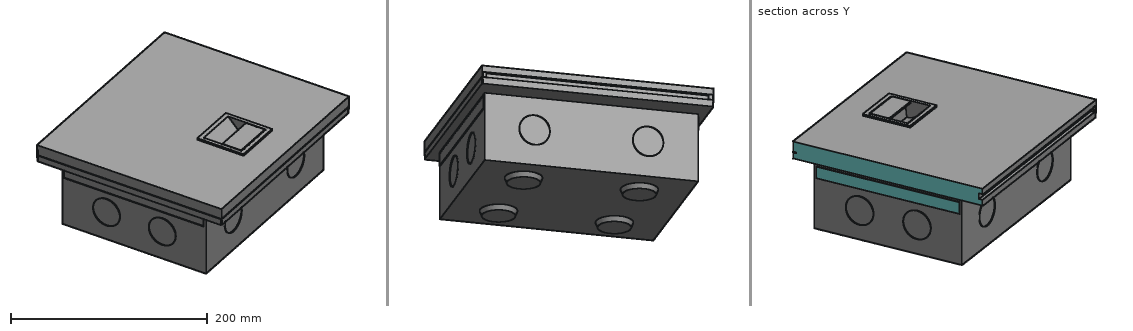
import cadquery as cq
import math


box_x, box_y = 172.3, 225.0
strip_x, strip_height, strip_proud = 167.5, 13.7, 1.0
strip_top = 71.0

outer_x, outer_y = 221.3, 244.0
flange_bottom, flange_top = 73.2, 80.3
corner_notch = 1.0
notch_top = 78.0
lid_bottom, lid_top = 81.0, 93.0
seal_inset = 3.7
slot_top, slot_length, slot_depth = 86.1, 234.2, 4.1
slot_end_recess = 1.0

knockout_radius, knockout_depth = 16.0, 1.0
end_knockout_x, end_knockout_z = 33.5, 32.7
side_knockout_y, side_knockout_z = 59.8, 38.3

foot_x, foot_y = 47.8, 61.0
foot_top_radius, foot_bottom_radius, foot_height = 19.3, 17.0, 5.4

bezel_x, bezel_y, bezel_proud = 55.5, 54.7, 2.0
bezel_center_x = 50.0
bezel_top = lid_top + bezel_proud
opening_x, opening_y = 45.1, 46.4
opening_left = bezel_center_x - opening_x / 2
opening_right = bezel_center_x + opening_x / 2
flap_x = 23.2
flap_left = opening_right - flap_x
flap_gap, flap_thickness = 0.7, 1.7
flap_bottom = bezel_top - flap_thickness
scoop_radius, scoop_depth = 19.5, 19.8
scoop_run = 27.3
scoop_knee_angle = 46.0
scoop_wall_lean = 2.0


def block(size_x, size_y, z_low, z_high, center_x=0.0):
    """Box centred on y = 0 between two heights."""
    base = cq.Workplane("XY", origin=(center_x, 0, z_low))
    return base.rect(size_x, size_y).extrude(z_high - z_low)


def make_box():
    body = block(box_x, box_y, 0, flange_bottom)
    strips = block(strip_x, box_y + 2 * strip_proud, strip_top - strip_height, strip_top)
    return body.union(strips)


def make_flange():
    notches = (
        cq.Workplane("XY", origin=(0, 0, flange_bottom))
        .rect(outer_x, outer_y, forConstruction=True)
        .vertices()
        .rect(2 * corner_notch, 2 * corner_notch)
        .extrude(notch_top - flange_bottom)
    )
    return block(outer_x, outer_y, flange_bottom, flange_top).cut(notches)


def make_lid():
    """Lid on its seal, with the slot along the -X side and the latch bezel on top."""
    seal = block(outer_x - 2 * seal_inset, outer_y - 2 * seal_inset, flange_top, lid_bottom)
    panel = block(outer_x, outer_y, lid_bottom, lid_top)
    bezel = block(bezel_x, bezel_y, lid_top, bezel_top, bezel_center_x)
    slot = block(2 * slot_depth, slot_length, flange_top, slot_top, -outer_x / 2)
    slot_ends = block(
        2 * slot_end_recess, outer_y - 2 * slot_end_recess, lid_bottom, slot_top, -outer_x / 2
    )
    return seal.union(panel).union(bezel).cut(slot).cut(slot_ends)


def make_foot(x, y):
    return (
        cq.Workplane("XY", origin=(x, y, 0))
        .circle(foot_top_radius)
        .workplane(offset=-foot_height)
        .circle(foot_bottom_radius)
        .loft(ruled=True)
    )


def make_knockout(center, inward):
    disc = cq.Solid.makeCylinder(
        knockout_radius, knockout_depth, cq.Vector(*center), cq.Vector(*inward)
    )
    return cq.Workplane(disc)


def make_scoop():
    """Finger pocket: a ramp from the left edge, a round floor and a leaning wall under the flap."""
    bottom_x = opening_left + scoop_run
    center_z = bezel_top - scoop_depth + scoop_radius

    def floor_point(angle):
        turn = math.radians(angle)
        x = bottom_x - scoop_radius * math.sin(turn)
        z = center_z - scoop_radius * math.cos(turn)
        return (x, z)

    return (
        cq.Workplane("XZ", origin=(0, opening_y / 2, 0))
        .moveTo(opening_left, bezel_top)
        .lineTo(*floor_point(scoop_knee_angle))
        .threePointArc(floor_point(scoop_knee_angle / 2), floor_point(0))
        .lineTo(bottom_x + scoop_wall_lean, flap_bottom)
        .lineTo(flap_left, flap_bottom)
        .lineTo(flap_left, bezel_top)
        .close()
        .extrude(opening_y)
    )


def make_flap_gap():
    """Narrow groove around the three closed sides of the flap."""
    flap_center_x = flap_left + flap_x / 2
    surround = block(flap_x, opening_y, flap_bottom, bezel_top, flap_center_x)
    flap = block(
        flap_x - flap_gap, opening_y - 2 * flap_gap, flap_bottom, bezel_top,
        flap_center_x - flap_gap / 2,
    )
    return surround.cut(flap)


result = make_box().union(make_flange()).union(make_lid())
result = result.cut(make_scoop()).cut(make_flap_gap())

for side in (-1, 1):
    for end in (-1, 1):
        end_center = (side * end_knockout_x, end * box_y / 2, end_knockout_z)
        side_center = (side * box_x / 2, end * side_knockout_y, side_knockout_z)
        result = result.union(make_foot(side * foot_x, end * foot_y))
        result = result.cut(make_knockout(end_center, (0, -end, 0)))
        result = result.cut(make_knockout(side_center, (-side, 0, 0)))